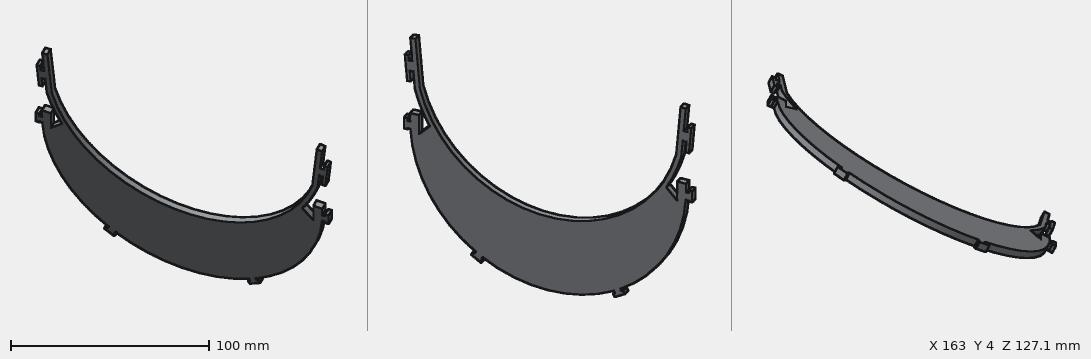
import cadquery as cq
import math

PLATE_THICKNESS = 4.0
OUTER_RADIUS = 78.0
INNER_RADIUS = 75.0
INNER_CENTER_Z = 40.0
BAND_THICKNESS = 3.0

ARM_ROOT_ANGLE = math.radians(-15.0)
ARM_TILT = math.radians(5.0)
ARM_TIP_Z = 49.11

POST_WIDTH = 5.0
POST_TOP_Z = 5.0
NOTCH_TIP_Z = 0.0

HOOK_HEAD_THICKNESS = 2.0
HOOK_NECK_LENGTH = 1.5
HOOK_HEAD_WIDTH = 6.5
HOOK_NECK_WIDTH = 4.5
POST_HOOK_TOP_Z = 1.5
POST_HOOK_NECK_TOP_Z = 0.0
RIM_HOOK_ANGLE = 30.0
RIM_HOOK_SINK = 0.25

CLIP_BAR_START = 3.3
CLIP_BAR_LENGTH = 15.0
CLIP_LOWER_PRONG = 6.0
CLIP_UPPER_PRONG = 3.0
CLIP_BAR_END = CLIP_BAR_START + CLIP_BAR_LENGTH
CLIP_BRIDGE_START = CLIP_BAR_START + CLIP_LOWER_PRONG
CLIP_BRIDGE_END = CLIP_BAR_END - CLIP_UPPER_PRONG
CLIP_BAR_THICKNESS = 2.0
CLIP_GAP = 2.0

OVERLAP = 1.0

ARM_ROOT_Z = INNER_CENTER_Z + INNER_RADIUS * math.sin(ARM_ROOT_ANGLE)
ARM_LENGTH = (ARM_TIP_Z - ARM_ROOT_Z) / math.cos(ARM_TILT)


def rim_point(radius, angle):
    """Point on the -X side of a circle about the upper rim centre; angle is above horizontal."""
    return (-radius * math.cos(angle), INNER_CENTER_Z + radius * math.sin(angle))


def arm_point(along, outward):
    """Point placed from the inner arm root, along the arm and away from its inner edge."""
    root_x, root_z = rim_point(INNER_RADIUS, ARM_ROOT_ANGLE)
    x = root_x - along * math.sin(ARM_TILT) - outward * math.cos(ARM_TILT)
    z = root_z + along * math.cos(ARM_TILT) - outward * math.sin(ARM_TILT)
    return (x, z)


def extrude_plate(sketch):
    return sketch.extrude(PLATE_THICKNESS / 2, both=True)


def block(x_min, x_max, z_min, z_max):
    """Plate-thick rectangle."""
    center = ((x_min + x_max) / 2, (z_min + z_max) / 2)
    return extrude_plate(cq.Workplane("XZ").center(*center).rect(x_max - x_min, z_max - z_min))


def arm_block(along_start, along_end, outward_start, outward_end):
    """Plate-thick rectangle aligned with the arm."""
    corners = [
        arm_point(along_start, outward_start),
        arm_point(along_end, outward_start),
        arm_point(along_end, outward_end),
        arm_point(along_start, outward_end),
    ]
    return extrude_plate(cq.Workplane("XZ").polyline(corners).close())


def half_body():
    """The -X half of the crescent with its post, notch, band and arm."""
    band_radius = INNER_RADIUS + BAND_THICKNESS
    diagonal = math.sqrt(0.5)
    post_inner_x = -OUTER_RADIUS + POST_WIDTH
    notch_tip_angle = -math.asin((INNER_CENTER_Z - NOTCH_TIP_Z) / band_radius)
    notch_tip = rim_point(band_radius, notch_tip_angle)
    notch_bottom_z = NOTCH_TIP_Z - (notch_tip[0] - post_inner_x)
    band_mid_angle = (notch_tip_angle + ARM_ROOT_ANGLE) / 2
    inner_mid_angle = (ARM_ROOT_ANGLE - math.pi / 2) / 2
    outline = (
        cq.Workplane("XZ")
        .moveTo(0, -OUTER_RADIUS)
        .threePointArc((-OUTER_RADIUS * diagonal, -OUTER_RADIUS * diagonal), (-OUTER_RADIUS, 0))
        .lineTo(-OUTER_RADIUS, POST_TOP_Z)
        .lineTo(post_inner_x, POST_TOP_Z)
        .lineTo(post_inner_x, notch_bottom_z)
        .lineTo(*notch_tip)
        .threePointArc(rim_point(band_radius, band_mid_angle), rim_point(band_radius, ARM_ROOT_ANGLE))
        .lineTo(*arm_point(ARM_LENGTH, BAND_THICKNESS))
        .lineTo(*arm_point(ARM_LENGTH, 0))
        .lineTo(*arm_point(0, 0))
        .threePointArc(rim_point(INNER_RADIUS, inner_mid_angle), (0, INNER_CENTER_Z - INNER_RADIUS))
        .close()
    )
    return extrude_plate(outline)


def hook(head_top, neck_top):
    """T-shaped hook pointing to -X from the lower rim."""
    head_inner_x = -OUTER_RADIUS - HOOK_NECK_LENGTH
    head_outer_x = head_inner_x - HOOK_HEAD_THICKNESS
    head = block(head_outer_x, head_inner_x, head_top - HOOK_HEAD_WIDTH, head_top)
    neck = block(head_inner_x, -OUTER_RADIUS + OVERLAP, neck_top - HOOK_NECK_WIDTH, neck_top)
    return head.union(neck)


def post_hook():
    return hook(POST_HOOK_TOP_Z, POST_HOOK_NECK_TOP_Z)


def rim_hook():
    """Symmetric hook turned down around the lower rim."""
    level_hook = hook(HOOK_HEAD_WIDTH / 2, HOOK_NECK_WIDTH / 2)
    sunk_hook = level_hook.translate((RIM_HOOK_SINK, 0, 0))
    return sunk_hook.rotate((0, 0, 0), (0, 1, 0), RIM_HOOK_ANGLE - 90)


def arm_clip():
    """Bar parallel to the arm, joined to it by a shorter bridge."""
    bar_inner = BAND_THICKNESS + CLIP_GAP
    bar = arm_block(CLIP_BAR_START, CLIP_BAR_END, bar_inner, bar_inner + CLIP_BAR_THICKNESS)
    bridge = arm_block(CLIP_BRIDGE_START, CLIP_BRIDGE_END, BAND_THICKNESS - OVERLAP, bar_inner)
    return bar.union(bridge)


half = half_body().union(post_hook()).union(rim_hook()).union(arm_clip())
result = half.union(half.mirror("YZ")).clean()